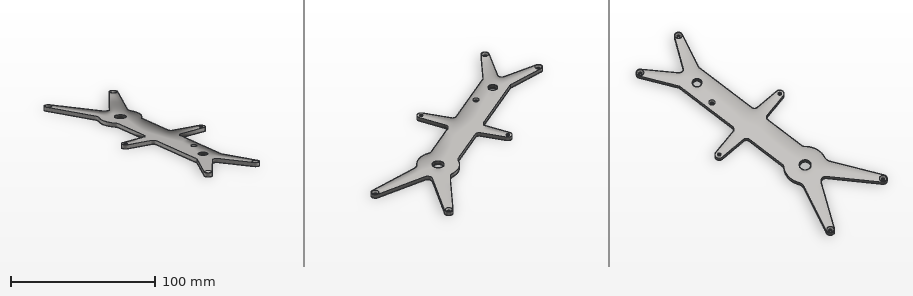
import cadquery as cq
import math

thickness = 3.0
bar_half_width = 10.2
disc_radius = 14.9
pivot_hole_diameter = 8.0
front_hole_x = 100.0
front_hole_diameter = 6.2

rear_tip_x = -47.6
rear_tip_y = 27.5
rear_tip_radius = 3.0
rear_crotch_x = -13.2
rear_outer_root_x = -3.5
front_tip_x = 134.8
front_tip_y = 20.0
front_tip_radius = 2.8
front_crotch_x = 111.5
front_outer_root_x = 107.3

side_tip_radius = 3.0
upper_tip = (50.0, 33.1)
upper_root = (45.4, 55.5)
lower_tip = (51.2, -31.3)
lower_root = (46.0, 55.7)

rear_crotch_radius = 3.4
front_crotch_radius = 3.0
side_root_radius = 2.8
disc_to_fork_radius = 5.6
disc_to_bar_radius = 2.8

disc_fork_x = -7.5

screw_hole_diameter = 2.3
countersink_angle = 90
fork_countersink_diameter = 4.9
bar_countersink_diameter = 4.3
side_hole_diameter = 1.9
pivot_hole_bevel = 0.2
small_hole_bevel = 0.28
bar_screw = (81.7, 5.0)


def tangent_point(root, center, radius, side):
    """Point where a line from root touches a circle; side +1 or -1 turns left or right from center to root."""
    dx = root[0] - center[0]
    dy = root[1] - center[1]
    angle = math.atan2(dy, dx) + side * math.acos(radius / math.hypot(dx, dy))
    return (center[0] + radius * math.cos(angle), center[1] + radius * math.sin(angle))


def arm(root_a, root_b, tip, radius):
    """Tapered arm with a round tip; looking from root to tip, root_a is on the left."""
    touch_a = tangent_point(root_a, tip, radius, -1)
    touch_b = tangent_point(root_b, tip, radius, 1)
    out_x = tip[0] - (root_a[0] + root_b[0]) / 2
    out_y = tip[1] - (root_a[1] + root_b[1]) / 2
    reach = math.hypot(out_x, out_y)
    end = (tip[0] + radius * out_x / reach, tip[1] + radius * out_y / reach)
    return (
        cq.Workplane("XY")
        .moveTo(*root_a)
        .lineTo(*touch_a)
        .threePointArc(end, touch_b)
        .lineTo(*root_b)
        .close()
        .extrude(thickness)
    )


def fork(tip_x, tip_y, radius, crotch_x, outer_root_x):
    """Two arms mirrored about the centre line."""
    crotch = (crotch_x, 0)
    outer_root = (outer_root_x, bar_half_width)
    roots = (crotch, outer_root) if tip_x < crotch_x else (outer_root, crotch)
    half = arm(*roots, (tip_x, tip_y), radius)
    hub_points = [crotch, outer_root, (outer_root_x, -bar_half_width)]
    hub = cq.Workplane("XY").polyline(hub_points).close().extrude(thickness)
    return hub.union(half).union(half.mirror("XZ"))


def round_corner(body, x, y, radius):
    """Round the vertical edge nearest to (x, y)."""
    corner = cq.selectors.NearestToPointSelector((x, y, thickness / 2))
    return body.edges("|Z").edges(corner).fillet(radius)


def countersink(body, centers, hole_diameter, rim_diameter):
    """Through holes countersunk from the top face."""
    top = cq.Workplane("XY", origin=(0, 0, thickness))
    return body.copyWorkplane(top).pushPoints(centers).cskHole(
        hole_diameter, rim_diameter, countersink_angle
    )


bar_length = front_outer_root_x
bar = cq.Workplane("XY").rect(bar_length, 2 * bar_half_width).extrude(thickness)
plate = bar.translate((bar_length / 2, 0, 0))
plate = plate.union(cq.Workplane("XY").circle(disc_radius).extrude(thickness))
rear_fork = fork(rear_tip_x, rear_tip_y, rear_tip_radius, rear_crotch_x, rear_outer_root_x)
plate = plate.union(round_corner(rear_fork, rear_crotch_x, 0, rear_crotch_radius))
front_fork = fork(front_tip_x, front_tip_y, front_tip_radius, front_crotch_x, front_outer_root_x)
plate = plate.union(round_corner(front_fork, front_crotch_x, 0, front_crotch_radius))
upper_roots = [(x, bar_half_width) for x in upper_root]
lower_roots = [(x, -bar_half_width) for x in reversed(lower_root)]
plate = plate.union(arm(*upper_roots, upper_tip, side_tip_radius))
plate = plate.union(arm(*lower_roots, lower_tip, side_tip_radius))
plate = plate.clean()

for root_x, root_y in upper_roots + lower_roots:
    plate = round_corner(plate, root_x, root_y, side_root_radius)
disc_bar_x = math.sqrt(disc_radius**2 - bar_half_width**2)
disc_fork_y = math.sqrt(disc_radius**2 - disc_fork_x**2)
for side in (1, -1):
    plate = round_corner(plate, disc_bar_x, side * bar_half_width, disc_to_bar_radius)
    plate = round_corner(plate, disc_fork_x, side * disc_fork_y, disc_to_fork_radius)

for center, diameter, bevel in (
    ((0, 0), pivot_hole_diameter, pivot_hole_bevel),
    ((front_hole_x, 0), front_hole_diameter, small_hole_bevel),
    (upper_tip, side_hole_diameter, small_hole_bevel),
    (lower_tip, side_hole_diameter, small_hole_bevel),
):
    plate = countersink(plate, [center], diameter, diameter + 2 * bevel)

fork_tips = [
    (x, side * y)
    for x, y in ((rear_tip_x, rear_tip_y), (front_tip_x, front_tip_y))
    for side in (1, -1)
]
plate = countersink(plate, fork_tips, screw_hole_diameter, fork_countersink_diameter)
plate = countersink(plate, [bar_screw], screw_hole_diameter, bar_countersink_diameter)

result = plate